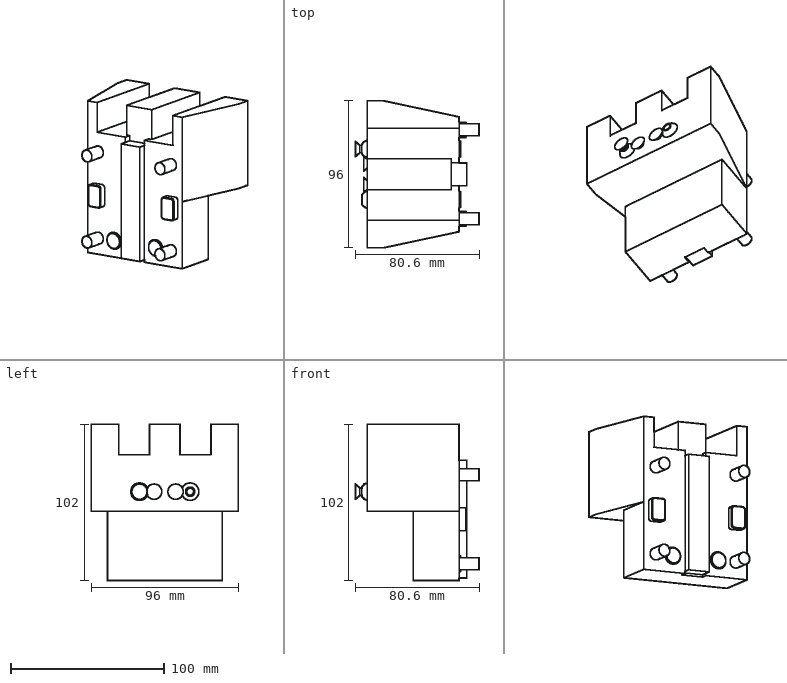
import cadquery as cq

HEIGHT = 102.0
BLOCK_DEPTH = 60.0
BLOCK_WIDTH = 96.0
BLOCK_HEIGHT = 56.9
FOOT_DEPTH = 30.0
FOOT_WIDTH = 75.0
FOOT_HEIGHT = HEIGHT - BLOCK_HEIGHT
TAPER_START = 10.6

NOTCH_WIDTH = 20.0
NOTCH_DEPTH = 20.0
RIB_WIDTH = 20.0
NOTCH_OFFSET = (RIB_WIDTH + NOTCH_WIDTH) / 2
RIB_LENGTH = 55.0

KEY_WIDTH = 15.0
KEY_BOTTOM = 1.5
KEY_HEIGHT = 77.0
KEY_PROJECTION = 5.0
KEYWAY_DEPTH = BLOCK_DEPTH - RIB_LENGTH

PIN_DIAMETER = 8.0
PIN_LENGTH = 13.1
PIN_SPACING = 57.9
PIN_SQUARE_BOTTOM = 11.0
PAD_WIDTH = 10.0
PAD_HEIGHT = 15.0
PAD_LENGTH = 4.7
PAD_CORNER_RADIUS = 2.0
PAD_CHAMFER = 0.5

BACK_HEAD_BASE_DIAMETER = 11.2
BACK_HEAD_TIP_DIAMETER = 10.0
BACK_HEAD_HEIGHT = 0.9

SCREW_Z = 57.9
DOME_SPACING = 32.9
DOME_RADIUS = 5.9
DOME_CENTER_X = 1.6
DOME_HEIGHT = 3.5
SOCKET_DIAMETER = 4.6
SCREW_HEAD_SPACING = 14.0
SCREW_HEAD_DIAMETER = 10.0
SCREW_SHANK_DIAMETER = 5.1
SCREW_HEAD_LENGTH = 2.8
LOW_HEAD_PROJECTION = 2.2
RAISED_HEAD_PROJECTION = 7.5


def box(x, y, z, length, width, height):
    """Box starting at x and z, centred on y."""
    return cq.Workplane("XY").box(length, width, height, centered=(False, True, False)).translate((x, y, z))


def cylinder(x, y, z, diameter, length):
    """Cylinder along +X from its start face centre."""
    return cq.Workplane("YZ", origin=(x, y, z)).circle(diameter / 2).extrude(length)


def cone(x, y, z, start_diameter, end_diameter, length):
    """Truncated cone along +X from its start face centre."""
    start = cq.Vector(x, y, z)
    axis = cq.Vector(1, 0, 0)
    return cq.Workplane(cq.Solid.makeCone(start_diameter / 2, end_diameter / 2, length, start, axis))


def make_body():
    block = (
        cq.Workplane("XY", origin=(0, 0, FOOT_HEIGHT))
        .moveTo(0, -BLOCK_WIDTH / 2)
        .lineTo(TAPER_START, -BLOCK_WIDTH / 2)
        .lineTo(BLOCK_DEPTH, -FOOT_WIDTH / 2)
        .lineTo(BLOCK_DEPTH, FOOT_WIDTH / 2)
        .lineTo(TAPER_START, BLOCK_WIDTH / 2)
        .lineTo(0, BLOCK_WIDTH / 2)
        .close()
        .extrude(BLOCK_HEIGHT)
    )
    body = block.union(box(BLOCK_DEPTH - FOOT_DEPTH, 0, 0, FOOT_DEPTH, FOOT_WIDTH, FOOT_HEIGHT))
    notch_floor = HEIGHT - NOTCH_DEPTH
    for side in (-1, 1):
        body = body.cut(box(0, side * NOTCH_OFFSET, notch_floor, BLOCK_DEPTH, NOTCH_WIDTH, NOTCH_DEPTH))
    body = body.cut(box(RIB_LENGTH, 0, notch_floor, KEYWAY_DEPTH, RIB_WIDTH, NOTCH_DEPTH))
    return body.cut(box(RIB_LENGTH, 0, 0, KEYWAY_DEPTH, KEY_WIDTH, notch_floor))


def make_key():
    return box(RIB_LENGTH, 0, KEY_BOTTOM, KEYWAY_DEPTH + KEY_PROJECTION, KEY_WIDTH, KEY_HEIGHT)


def make_pad(y):
    z = PIN_SQUARE_BOTTOM + PIN_SPACING / 2 - PAD_HEIGHT / 2
    pad = box(BLOCK_DEPTH, y, z, PAD_LENGTH, PAD_WIDTH, PAD_HEIGHT)
    return pad.edges("|X").fillet(PAD_CORNER_RADIUS).faces(">X").chamfer(PAD_CHAMFER)


def make_back_head(y):
    z = PIN_SQUARE_BOTTOM
    return cone(BLOCK_DEPTH, y, z, BACK_HEAD_BASE_DIAMETER, BACK_HEAD_TIP_DIAMETER, BACK_HEAD_HEIGHT)


def make_dome(y):
    """Sphere sunk into the front face and cut flat at its tip."""
    sphere = cq.Workplane("XY").sphere(DOME_RADIUS).translate((DOME_CENTER_X, y, SCREW_Z))
    return sphere.intersect(box(-DOME_HEIGHT, y, 0, DOME_HEIGHT, 2 * DOME_RADIUS, HEIGHT))


def make_screw(y, projection):
    """Countersunk screw lying along X, its shank running into the front face."""
    head = cone(-projection, y, SCREW_Z, SCREW_HEAD_DIAMETER, SCREW_SHANK_DIAMETER, SCREW_HEAD_LENGTH)
    shank_start = SCREW_HEAD_LENGTH - projection
    return head.union(cylinder(shank_start, y, SCREW_Z, SCREW_SHANK_DIAMETER, projection))


result = make_body().union(make_key())

for side in (-1, 1):
    pin_y = side * PIN_SPACING / 2
    for pin_z in (PIN_SQUARE_BOTTOM, PIN_SQUARE_BOTTOM + PIN_SPACING):
        result = result.union(cylinder(BLOCK_DEPTH, pin_y, pin_z, PIN_DIAMETER, PIN_LENGTH))
    result = result.union(make_pad(pin_y))

    dome_y = side * DOME_SPACING / 2
    result = result.union(make_back_head(dome_y))
    result = result.union(make_dome(dome_y))
    result = result.union(make_screw(side * SCREW_HEAD_SPACING / 2, LOW_HEAD_PROJECTION))

result = result.cut(cylinder(-DOME_HEIGHT, -DOME_SPACING / 2, SCREW_Z, SOCKET_DIAMETER, DOME_HEIGHT))
result = result.union(make_screw(DOME_SPACING / 2, RAISED_HEAD_PROJECTION))